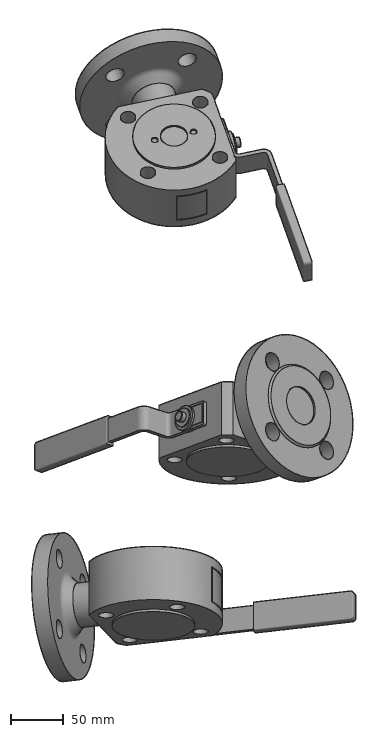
import cadquery as cq
import math


overall_length = 272.5
flange_face_x = -100.0
grip_end_x = flange_face_x + overall_length

flange_diameter = 140.0
bolt_count = 4
first_bolt_angle = 45
flange_thickness = 16.0
flange_lip_height = 2.0
flange_lip_diameter = 81.8
flange_bore_diameter = 37.3
bolt_circle_diameter = 100.0
flange_bolt_diameter = 18.0
neck_radius = 21.3
cone_angle = 45
neck_cone_length = 8.7
neck_flange_fillet = 6.5
neck_body_fillet = 5.0

body_radius = 65.0
body_height = 53.7
body_side_x = -50.5
body_top_y = 49.0
body_bolt_diameter = 14.5
body_lip_diameter = 78.2
body_lip_height = 2.5
body_bore_diameter = 25.5
pin_hole_diameter = 6.3
pin_hole_offset = 19.0
label_width = 29.5
label_height = 34.5
label_depth = 0.8
recess_depth = 2.0

collar_height = 1.0
nut_radius = 12.0
nut_top_y = 57.5
washer_radius = 9.3
washer_top_y = 59.0
stem_radius = 5.0
stem_top_y = 64.5
stem_chamfer = 0.5

lever_thickness = 4.0
lever_width = 24.0
lever_start_x = -23.7
lever_riser_x = 28.0
lever_upper_y = 87.0
lever_inner_bend = 3.8
lever_corner_radius = 2.5
stop_plate_start_x = -22.5
stop_plate_thickness = 0.8
stop_plate_width = 19.0

grip_start_x = 72.5
grip_top_y = 88.3
grip_thickness = 8.5
grip_width = 29.0
grip_corner_radius = 3.5
grip_edge_fillet = 1.0

lever_base_y = body_top_y + collar_height
lip_top_z = body_height / 2 + body_lip_height


def disc_along_y(radius, bottom_y, top_y):
    """Cylinder around the stem axis between two heights."""
    return cq.Workplane("XZ", origin=(0, bottom_y, 0)).circle(radius).extrude(bottom_y - top_y)


def make_flange_and_neck():
    rim_x = flange_face_x + flange_lip_height
    back_x = rim_x + flange_thickness
    cone_end_x = back_x + neck_cone_length
    cone_radius = neck_radius + neck_cone_length * math.tan(math.radians(cone_angle))
    lip_radius = flange_lip_diameter / 2
    flange_radius = flange_diameter / 2

    half_angle = math.radians(cone_angle) / 2
    tangent = neck_flange_fillet * math.tan(half_angle)
    arc_end = (
        back_x + tangent * math.cos(math.radians(cone_angle)),
        cone_radius - tangent * math.sin(math.radians(cone_angle)),
    )
    arc_middle = (
        back_x + neck_flange_fillet * (1 - math.cos(half_angle)),
        cone_radius + tangent - neck_flange_fillet * math.sin(half_angle),
    )

    fillet_start_x = body_side_x - neck_body_fillet
    quarter_in = neck_body_fillet * math.sqrt(0.5)
    profile = (
        cq.Workplane("XY")
        .moveTo(flange_face_x, 0)
        .lineTo(flange_face_x, lip_radius - flange_lip_height)
        .lineTo(rim_x, lip_radius)
        .lineTo(rim_x, flange_radius)
        .lineTo(back_x, flange_radius)
        .lineTo(back_x, cone_radius + tangent)
        .threePointArc(arc_middle, arc_end)
        .lineTo(cone_end_x, neck_radius)
        .lineTo(fillet_start_x, neck_radius)
        .threePointArc(
            (fillet_start_x + quarter_in, neck_radius + neck_body_fillet - quarter_in),
            (body_side_x, neck_radius + neck_body_fillet),
        )
        .lineTo(0, neck_radius + neck_body_fillet)
        .lineTo(0, 0)
        .close()
    )
    part = profile.revolve(360, (0, 0, 0), (1, 0, 0))

    face = cq.Workplane("YZ", origin=(flange_face_x, 0, 0))
    bore = face.circle(flange_bore_diameter / 2).extrude(recess_depth)
    bolts = (
        face.polarArray(bolt_circle_diameter / 2, first_bolt_angle, 360, bolt_count)
        .circle(flange_bolt_diameter / 2)
        .extrude(flange_lip_height + flange_thickness)
    )
    return part.cut(bore).cut(bolts)


def make_body():
    body = cq.Workplane("XY").circle(body_radius).extrude(body_height / 2, both=True)
    trim = (
        cq.Workplane("XY")
        .moveTo(body_side_x, body_top_y)
        .lineTo(body_side_x, -body_radius)
        .lineTo(body_radius, -body_radius)
        .lineTo(body_radius, body_top_y)
        .close()
        .extrude(body_height, both=True)
    )
    lips = cq.Workplane("XY").circle(body_lip_diameter / 2).extrude(lip_top_z, both=True)
    return body.intersect(trim).union(lips)


def cut_body_details(part):
    bolts = (
        cq.Workplane("XY")
        .polarArray(bolt_circle_diameter / 2, first_bolt_angle, 360, bolt_count)
        .circle(body_bolt_diameter / 2)
        .extrude(lip_top_z, both=True)
    )
    top = cq.Workplane("XY", origin=(0, 0, lip_top_z))
    bore = top.circle(body_bore_diameter / 2).extrude(-recess_depth)
    pins = (
        top.pushPoints([(0, -pin_hole_offset), (0, pin_hole_offset)])
        .circle(pin_hole_diameter / 2)
        .extrude(-recess_depth)
    )
    label_window = cq.Workplane("XY").box(
        2 * body_radius, label_width, label_height, centered=(False, True, True)
    )
    label = (
        cq.Workplane("XY")
        .circle(body_radius + label_depth)
        .circle(body_radius - label_depth)
        .extrude(label_height / 2, both=True)
        .intersect(label_window)
    )
    return part.cut(bolts).cut(bore).cut(pins).cut(label)


def make_stem():
    stem = disc_along_y(stem_radius, body_top_y, stem_top_y).faces(">Y").chamfer(stem_chamfer)
    collar = disc_along_y(nut_radius, body_top_y, lever_base_y)
    nut = disc_along_y(nut_radius, lever_base_y, nut_top_y)
    washer = disc_along_y(washer_radius, nut_top_y, washer_top_y)
    return collar.union(nut).union(washer).union(stem)


def make_lever():
    outer_bend = lever_inner_bend + lever_thickness
    lever_end_x = (grip_start_x + grip_end_x) / 2
    riser_left_x = lever_riser_x - lever_thickness
    upper_inner_y = lever_upper_y - lever_thickness
    base_inner_y = lever_base_y + lever_thickness
    strip = (
        cq.Workplane("XY")
        .moveTo(lever_start_x, lever_base_y)
        .lineTo(lever_riser_x, lever_base_y)
        .lineTo(lever_riser_x, upper_inner_y)
        .lineTo(lever_end_x, upper_inner_y)
        .lineTo(lever_end_x, lever_upper_y)
        .lineTo(riser_left_x, lever_upper_y)
        .lineTo(riser_left_x, base_inner_y)
        .lineTo(lever_start_x, base_inner_y)
        .close()
        .extrude(lever_width / 2, both=True)
    )

    def bend_edge(x, y):
        return cq.selectors.NearestToPointSelector((x, y, 0))

    strip = strip.edges(bend_edge(lever_riser_x, lever_base_y)).fillet(outer_bend)
    strip = strip.edges(bend_edge(riser_left_x, lever_upper_y)).fillet(outer_bend)
    strip = strip.edges(bend_edge(lever_riser_x, upper_inner_y)).fillet(lever_inner_bend)
    strip = strip.edges(bend_edge(riser_left_x, base_inner_y)).fillet(lever_inner_bend)
    strip = strip.faces("<X").edges("|Y").fillet(lever_corner_radius)

    stop_plate = cq.Workplane("XY").box(
        -stop_plate_start_x, stop_plate_thickness, stop_plate_width, centered=(False, False, True)
    )
    return strip.union(stop_plate.translate((stop_plate_start_x, base_inner_y, 0)))


def make_grip():
    grip = cq.Workplane("XY").box(
        grip_end_x - grip_start_x, grip_thickness, grip_width, centered=(False, False, True)
    )
    grip = grip.faces(">X").edges("|Y").fillet(grip_corner_radius)
    grip = grip.faces("<Y or >Y").edges().fillet(grip_edge_fillet)
    return grip.translate((grip_start_x, grip_top_y - grip_thickness, 0))


valve = cut_body_details(make_flange_and_neck().union(make_body()))
result = valve.union(make_stem()).union(make_lever()).union(make_grip())